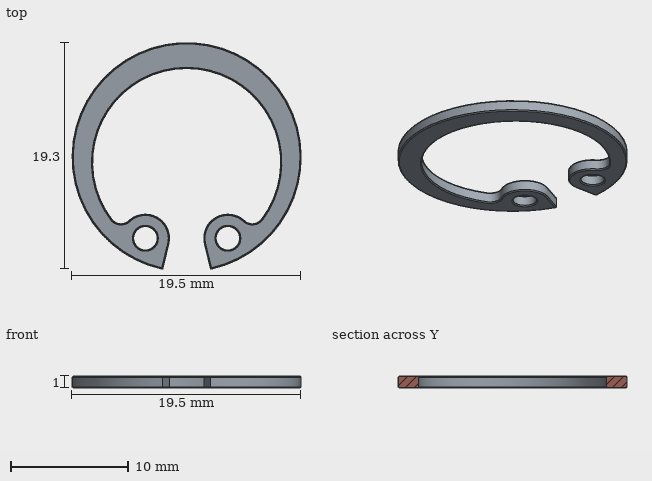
import cadquery as cq
import math


thickness = 1.0
edge_chamfer = 0.1

outer_radius = 9.75
bore_radius = 8.0
widest_band = 2.2
gap_half_width = 2.04

lug_radius = 2.05
lug_x = 3.51
lug_y = -6.9
plier_hole_diameter = 2.0
relief_radius = 1.0

ring_center = (0.0, 0.0)
bore_center = (0.0, outer_radius - widest_band - bore_radius)
lug_center = (lug_x, lug_y)
tip = (gap_half_width, -math.sqrt(outer_radius**2 - gap_half_width**2))


def direction(start, end):
    """Angle of the line from start to end."""
    return math.atan2(end[1] - start[1], end[0] - start[0])


def polar(center, radius, angle):
    """Point at a radius and angle around a center."""
    return (center[0] + radius * math.cos(angle), center[1] + radius * math.sin(angle))


def mirrored(point):
    """Same point on the other side of the gap."""
    return (-point[0], point[1])


def triangle_angle(side_a, side_b, opposite):
    """Angle between two triangle sides, given the side opposite to it."""
    return math.acos((side_a**2 + side_b**2 - opposite**2) / (2 * side_a * side_b))


def relief_arc_center():
    """Center of the arc that is tangent inside the bore and outside the lug."""
    center_distance = math.dist(bore_center, lug_center)
    bore_distance = bore_radius - relief_radius
    lug_distance = lug_radius + relief_radius
    swing = triangle_angle(center_distance, bore_distance, lug_distance)
    return polar(bore_center, bore_distance, direction(bore_center, lug_center) + swing)


def ring_outline():
    """Closed outline of the ring, counterclockwise from the right-hand tip."""
    relief_center = relief_arc_center()

    bore_end = polar(bore_center, bore_radius, direction(bore_center, relief_center))
    lug_start_angle = direction(lug_center, relief_center)
    lug_start = polar(lug_center, lug_radius, lug_start_angle)
    relief_mid_angle = (direction(relief_center, bore_end) + direction(relief_center, lug_start)) / 2
    relief_mid = polar(relief_center, relief_radius, relief_mid_angle)

    tangent_swing = math.acos(lug_radius / math.dist(lug_center, tip))
    lug_end_angle = direction(lug_center, tip) - tangent_swing + 2 * math.pi
    lug_end = polar(lug_center, lug_radius, lug_end_angle)
    lug_mid = polar(lug_center, lug_radius, (lug_start_angle + lug_end_angle) / 2)

    outer_top = polar(ring_center, outer_radius, math.pi / 2)
    bore_top = polar(bore_center, bore_radius, math.pi / 2)

    return (
        cq.Workplane("XY")
        .moveTo(*tip)
        .threePointArc(outer_top, mirrored(tip))
        .lineTo(*mirrored(lug_end))
        .threePointArc(mirrored(lug_mid), mirrored(lug_start))
        .threePointArc(mirrored(relief_mid), mirrored(bore_end))
        .threePointArc(bore_top, bore_end)
        .threePointArc(relief_mid, lug_start)
        .threePointArc(lug_mid, lug_end)
        .close()
    )


def retaining_ring():
    """Flat ring with plier holes and every top and bottom edge chamfered."""
    ring = ring_outline().extrude(thickness)
    ring = (
        ring.faces(">Z")
        .workplane(origin=(0, 0, thickness))
        .pushPoints([lug_center, mirrored(lug_center)])
        .hole(plier_hole_diameter)
    )
    return ring.faces("|Z").edges().chamfer(edge_chamfer)


result = retaining_ring()